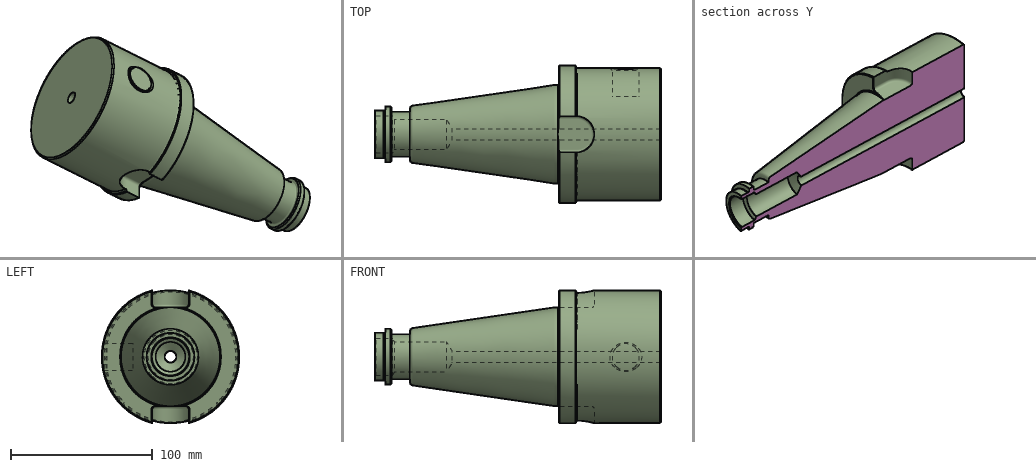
import cadquery as cq
import math

total_length = 202.0

taper_slope = 7 / 48
gauge_radius = 35.0
gauge_land = 3.2
land_root_fillet = 0.8
taper_start = 24.6
taper_rounding = 2.5

flange_start = 129.9
flange_length = 12.1
flange_radius = 48.7
flange_chamfer = 0.6
slot_width = 25.7
slot_edge_chamfer = 0.6
slot_floor = 35.0
slot_floor_fillet = 2.0

head_diameter = 94.0
head_radius = head_diameter / 2
head_chamfer = 1.0
head_root_fillet = 1.0

tail_end_radius = 17.0
tail_neck_radius = 16.0
collar_start = 7.3
collar_end = 11.7
collar_radius = 19.8
collar_chamfer = 1.0
tail_groove_start = 5.7
tail_groove_end = 6.3
tail_groove_depth = 0.2
collar_root_fillet = 0.8
neck_root_fillet = 0.6

counterbore_radius = 13.1
counterbore_depth = 12.1
counterbore_chamfer = 0.6
thread_bore_radius = 10.5
thread_bore_depth = 50.5
coolant_radius = 4.0
drill_half_angle = math.radians(59)

screw_x = 177.0
screw_radius = 9.5
screw_length = 20.2
screw_mouth_radius = 11.3

flange_end = flange_start + flange_length


def make_outer_shape():
    """Revolve the outside of tail, taper, flange and head."""
    land_start = flange_start - gauge_land
    corner_radius = gauge_radius - (land_start - taper_start) * taper_slope

    taper_angle = math.atan(taper_slope)
    tangent = taper_rounding * math.tan((math.pi / 2 - taper_angle) / 2)
    round_top = (
        taper_start + tangent * math.cos(taper_angle),
        corner_radius + tangent * math.sin(taper_angle),
    )
    round_center = (taper_start + taper_rounding, corner_radius - tangent)
    mid_angle = (math.pi + math.pi / 2 + taper_angle) / 2
    round_middle = (
        round_center[0] + taper_rounding * math.cos(mid_angle),
        round_center[1] + taper_rounding * math.sin(mid_angle),
    )

    tail_groove_radius = tail_end_radius - tail_groove_depth
    profile = (
        cq.Workplane("XZ")
        .moveTo(0, 0)
        .lineTo(0, tail_end_radius)
        .lineTo(tail_groove_start, tail_end_radius)
        .lineTo(tail_groove_end, tail_groove_radius)
        .lineTo(collar_start - collar_root_fillet, tail_groove_radius)
        .radiusArc((collar_start, tail_groove_radius + collar_root_fillet), -collar_root_fillet)
        .lineTo(collar_start, collar_radius)
        .lineTo(collar_end - collar_chamfer, collar_radius)
        .lineTo(collar_end, collar_radius - collar_chamfer)
        .lineTo(collar_end, tail_neck_radius + neck_root_fillet)
        .radiusArc((collar_end + neck_root_fillet, tail_neck_radius), -neck_root_fillet)
        .lineTo(taper_start, tail_neck_radius)
        .lineTo(taper_start, corner_radius - tangent)
        .threePointArc(round_middle, round_top)
        .lineTo(land_start, gauge_radius)
        .lineTo(flange_start - land_root_fillet, gauge_radius)
        .radiusArc((flange_start, gauge_radius + land_root_fillet), -land_root_fillet)
        .lineTo(flange_start, flange_radius - flange_chamfer)
        .lineTo(flange_start + flange_chamfer, flange_radius)
        .lineTo(flange_end - flange_chamfer, flange_radius)
        .lineTo(flange_end, flange_radius - flange_chamfer)
        .lineTo(flange_end, head_radius + head_root_fillet)
        .radiusArc((flange_end + head_root_fillet, head_radius), -head_root_fillet)
        .lineTo(total_length - head_chamfer, head_radius)
        .lineTo(total_length, head_radius - head_chamfer)
        .lineTo(total_length, 0)
        .close()
    )
    return profile.revolve(360, (0, 0, 0), (1, 0, 0))


def make_bore():
    """Counterbore, thread bore and coolant hole as one revolved cutter."""
    drill_slope = math.tan(drill_half_angle)
    step_length = (counterbore_radius - thread_bore_radius) / drill_slope
    tip_length = (thread_bore_radius - coolant_radius) / drill_slope
    profile = (
        cq.Workplane("XZ")
        .moveTo(0, 0)
        .lineTo(0, counterbore_radius + counterbore_chamfer)
        .lineTo(counterbore_chamfer, counterbore_radius)
        .lineTo(counterbore_depth, counterbore_radius)
        .lineTo(counterbore_depth + step_length, thread_bore_radius)
        .lineTo(thread_bore_depth, thread_bore_radius)
        .lineTo(thread_bore_depth + tip_length, coolant_radius)
        .lineTo(total_length, coolant_radius)
        .lineTo(total_length, 0)
        .close()
    )
    return profile.revolve(360, (0, 0, 0), (1, 0, 0))


def make_driving_slot():
    """Round-ended slot cutter on the +Z side, open toward the tail."""
    half_width = slot_width / 2
    entry = flange_start - gauge_land
    return (
        cq.Workplane("XY", origin=(0, 0, slot_floor))
        .moveTo(entry, -half_width - slot_edge_chamfer)
        .lineTo(flange_start, -half_width - slot_edge_chamfer)
        .lineTo(flange_start + slot_edge_chamfer, -half_width)
        .lineTo(flange_end, -half_width)
        .threePointArc((flange_end + half_width, 0), (flange_end, half_width))
        .lineTo(flange_start + slot_edge_chamfer, half_width)
        .lineTo(flange_start, half_width + slot_edge_chamfer)
        .lineTo(entry, half_width + slot_edge_chamfer)
        .close()
        .extrude(flange_radius - slot_floor)
        .faces("<Z")
        .edges("not <X")
        .fillet(slot_floor_fillet)
    )


def make_clamping_screw():
    """Plain cylinder of the clamping screw, flush with the head's outermost line."""
    return (
        cq.Workplane("XZ", origin=(screw_x, head_radius, 0))
        .circle(screw_radius)
        .extrude(screw_length)
    )


def make_screw_hole():
    """Hole that the screw fills, widened by a conical mouth."""
    mouth = (
        cq.Workplane("XZ", origin=(screw_x, head_radius, 0))
        .circle(screw_mouth_radius)
        .workplane(offset=screw_mouth_radius - screw_radius)
        .circle(screw_radius)
        .loft(ruled=True)
    )
    return make_clamping_screw().union(mouth)


def make_holder():
    """Turned body with its bore, two opposite driving slots and the screw hole."""
    holder = make_outer_shape().cut(make_bore())
    for angle in (0, 180):
        holder = holder.cut(make_driving_slot().rotate((0, 0, 0), (1, 0, 0), angle))
    return holder.cut(make_screw_hole())


holder = make_holder()
clamping_screw = make_clamping_screw()

result = cq.Compound.makeCompound([holder.val(), clamping_screw.val()])